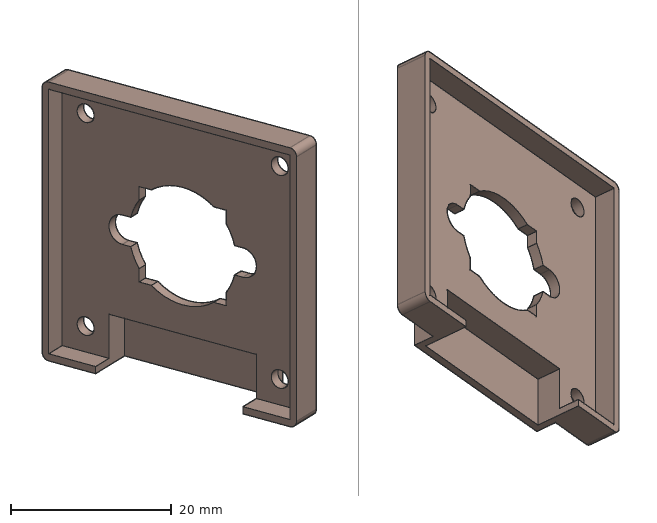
import cadquery as cq

side = 38.0
wall = 1.0
corner_radius = wall
tray_depth = 4.5
floor_thickness = 1.5
cavity_depth = tray_depth - floor_thickness

housing_depth = 3.0
recess_width = 22.0
recess_height = 7.0
housing_width = recess_width + 2 * wall
housing_height = recess_height + wall
recess_depth = tray_depth + housing_depth - wall

screw_diameter = 2.5
screw_spacing = 29.0
round_diameter = 16.0
square_side = 13.0
slot_length = 22.0
slot_height = 4.0


def block(width, depth, height, front, bottom):
    """Box centred on X, starting at the given front Y and bottom Z."""
    box = cq.Workplane("XY").box(width, depth, height, centered=(True, False, False))
    return box.translate((0, front, bottom))


def face_sketch():
    """Workplane on the open front; a negative extrusion runs toward +Y."""
    return cq.Workplane("XZ")


tray = block(side, tray_depth, side, 0, -side / 2).edges("|Y").fillet(corner_radius)
cavity_side = side - 2 * wall
cavity = block(cavity_side, cavity_depth, cavity_side, 0, -cavity_side / 2)

housing = block(housing_width, housing_depth, housing_height, tray_depth, -side / 2)
recess = block(recess_width, recess_depth, recess_height, 0, -side / 2)

opening = (
    face_sketch().circle(round_diameter / 2).extrude(-tray_depth)
    .union(face_sketch().rect(square_side, square_side).extrude(-tray_depth))
    .union(face_sketch().slot2D(slot_length, slot_height).extrude(-tray_depth))
)

screw_holes = (
    face_sketch()
    .rect(screw_spacing, screw_spacing, forConstruction=True)
    .vertices()
    .circle(screw_diameter / 2)
    .extrude(-tray_depth)
)

result = tray.cut(cavity).union(housing).cut(recess).cut(opening).cut(screw_holes)